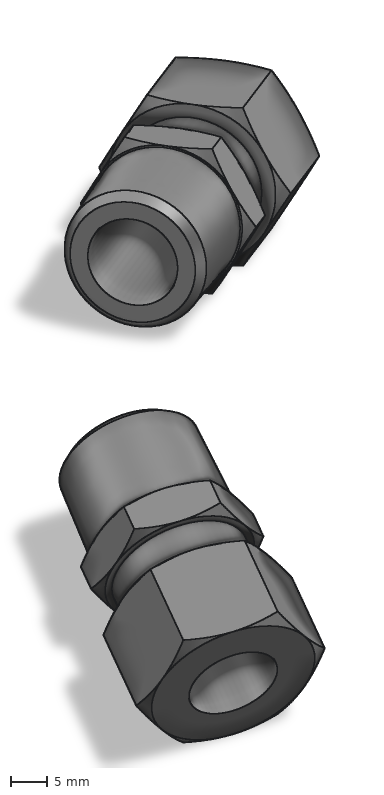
import cadquery as cq
import math

total_length = 41.9
nut_flats = 24.0
nut_length = 15.0
body_flats = 21.95
body_length = 6.0
collar_diameter = 20.0
bore_diameter = 13.0
thread_length = 15.05
thread_root_diameter = 21.35
thread_end_diameter = 20.55
thread_tip_diameter = 18.1
tip_chamfer_length = 1.2
hex_chamfer_angle = 30.0

nut_start = total_length - nut_length


def revolve_profile(points):
    """Revolve a closed (radius, Y) outline about the Y axis."""
    return cq.Workplane("XY").polyline(points).close().revolve(360, (0, 0, 0), (0, 1, 0))


def chamfered_hex(flats, start, length):
    """Hexagon with corners on X, its two ends turned down to the flats' inscribed circle."""
    corner_radius = flats / 2 / math.cos(math.pi / 6)
    flat_radius = flats / 2
    drop = (corner_radius - flat_radius) * math.tan(math.radians(hex_chamfer_angle))
    end = start + length
    prism = (
        cq.Workplane("XZ", origin=(0, start, 0))
        .polygon(6, 2 * corner_radius)
        .extrude(-length)
    )
    turned_envelope = revolve_profile([
        (0, start),
        (flat_radius, start),
        (corner_radius, start + drop),
        (corner_radius, end - drop),
        (flat_radius, end),
        (0, end),
    ])
    return prism.intersect(turned_envelope)


turned_core = revolve_profile([
    (0, 0),
    (thread_tip_diameter / 2, 0),
    (thread_end_diameter / 2, tip_chamfer_length),
    (thread_root_diameter / 2, thread_length),
    (collar_diameter / 2, thread_length),
    (collar_diameter / 2, nut_start),
    (0, nut_start),
])

body_hex = chamfered_hex(body_flats, thread_length, body_length)
nut = chamfered_hex(nut_flats, nut_start, nut_length)
bore = cq.Workplane("XZ").circle(bore_diameter / 2).extrude(-total_length)

result = turned_core.union(body_hex).union(nut).cut(bore)